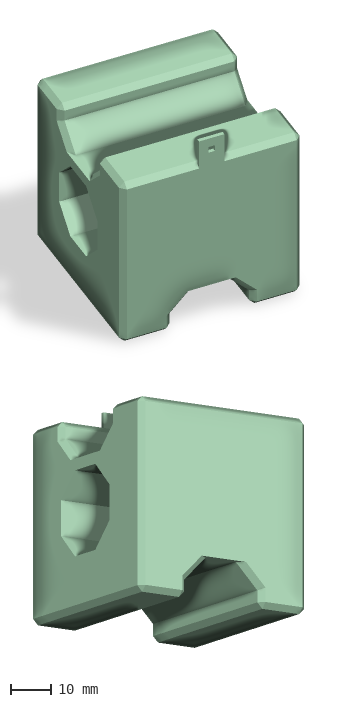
import cadquery as cq
import math

total_height = 57.0
cube_size = 50.0
edge_chamfer = 1.5
octagon_width = 22.0
tab_thickness = 1.0
tab_width = 7.0
tab_hole_size = 1.75

half_cube = cube_size / 2
octagon_radius = octagon_width / 2
octagon_diameter = octagon_width / math.cos(math.pi / 8)
tab_height = total_height - cube_size
tolerance = 0.0005


def octagonal_bar(axis_plane, height):
    """Octagonal bar with level flats, longer than the cube, its axis at the given height."""
    return (
        cq.Workplane(axis_plane)
        .polygon(8, octagon_diameter)
        .extrude(cube_size, both=True)
        .rotateAboutCenter(cq.Workplane(axis_plane).plane.zDir, 180 / 8)
        .translate((0, 0, height))
    )


def is_outer_edge(edge):
    """True for edges on the outside of the cube, except the ends of the groove floors."""
    center = edge.Center()
    on_outside = any(abs(abs(c) - half_cube) < tolerance for c in center.toTuple())
    at_floor = abs(abs(center.z) - (half_cube - octagon_radius)) < tolerance
    return on_outside and not at_floor


body = cq.Workplane().box(cube_size, cube_size, cube_size)
body = body.cut(octagonal_bar("XZ", half_cube))
body = body.cut(octagonal_bar("YZ", -half_cube))

outer_edges = [edge for edge in body.edges().vals() if is_outer_edge(edge)]
body = body.newObject(outer_edges).chamfer(edge_chamfer)

body = body.cut(octagonal_bar("XZ", 0))

tab_length = tab_height + edge_chamfer
tab_x = half_cube - tab_thickness / 2
tab_z = half_cube - edge_chamfer + tab_length / 2
tab = cq.Workplane().box(tab_thickness, tab_width, tab_length).translate((tab_x, 0, tab_z))

tab_hole_z = half_cube + tab_height / 2
tab_hole = (
    cq.Workplane()
    .box(2 * tab_thickness, tab_hole_size, tab_hole_size)
    .translate((tab_x, 0, tab_hole_z))
)

result = body.union(tab.cut(tab_hole))